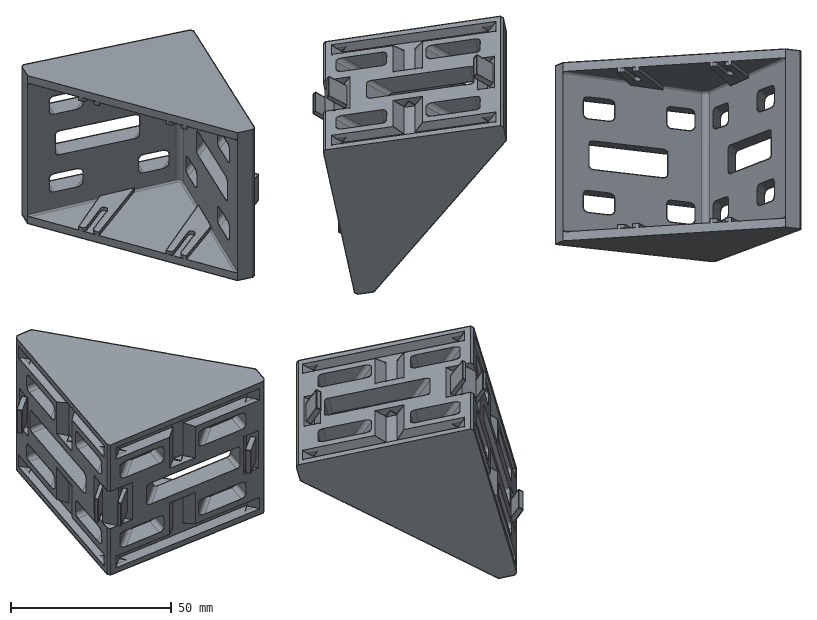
import cadquery as cq
import math

WIDTH = 79.6
HEIGHT = 57.0
FRONT_HALF_WIDTH = 36.15
APEX_HALF_WIDTH = 0.55
APEX_Y = 44.1
OUTER_DROP = 0.4

PLATE_FRONT_THICKNESS = 2.9
DRAFT = math.tan(math.radians(2))
CORNER_RADIUS = 1.8
PLATE_RADIUS = 0.55

HOLE_ENDS = [(2.95, 10.0), (23.2, 31.05)]
HOLE_HEIGHT = 7.0
HOLE_Z = 15.0
HOLE_RADIUS = 1.6
SLOT_ENDS = (9.8, 29.6)
SLOT_HEIGHT = 9.15
SLOT_RADIUS = 1.3

GROOVE_DEPTH = 2.9
LONG_GROOVE_X = 1.9
LONG_GROOVE_Y = 5.8
LONG_GROOVE_Z = (21.0, 26.0)
LONG_GROOVE_TAPER = 0.7
LONG_GROOVE_END_INSET = 0.3
BRANCH_X = 15.8
BRANCH_Y = 22.3
BRANCH_END_Z = 7.5
BRANCH_TAPER = 0.5

NOTCH_HEIGHT = 16.1
REAR_NOTCH_X = 2.55
REAR_NOTCH_Y = 38.5
SIDE_NOTCH_X = 34.7
SIDE_NOTCH_Y = 6.1
TAB_HEIGHT = 9.95
TAB_TIP_CHAMFER = 0.15
REAR_TAB_TIP_Y = 45.45
REAR_TAB_INNER_X = 3.1
REAR_TAB_TIP_X = 4.3
REAR_TAB_ROOT_X = 4.5
SIDE_TAB_TIP_Y = 12.4
SIDE_TAB_X = (36.0, 37.7)

PAD_X = 15.05
PAD_FRONT_WIDTH = 7.0
PAD_HEIGHT = 1.3
PAD_SIDE_DRAFT = math.tan(math.radians(1.6))
PAD_SLOT_WIDTH = 2.4
PAD_SLOT_LENGTH = 12.3
PAD_MOUTH_RADIUS = 1.2

OVERSHOOT = 0.8
HALF_HEIGHT = HEIGHT / 2
HALF_WIDTH = WIDTH / 2
OUTER_PEAK = APEX_Y + APEX_HALF_WIDTH
INNER_PEAK = FRONT_HALF_WIDTH
GROOVE_FLOOR_PEAK = OUTER_PEAK - GROOVE_DEPTH * math.sqrt(2)
FRONT_CHAMFER = HALF_WIDTH - FRONT_HALF_WIDTH
CAVITY_HALF_FRONT = HALF_HEIGHT - PLATE_FRONT_THICKNESS


def prism(points, z_low, z_high):
    """Extrude an XY outline between two heights."""
    return cq.Workplane("XY").workplane(offset=z_low).polyline(points).close().extrude(z_high - z_low)


def wedge(half_front, slope, y_front, y_rear):
    """Full-width block whose top and bottom close in along Y; half_front is its half height at Y = 0."""
    z_front = half_front - slope * y_front
    z_rear = half_front - slope * y_rear
    points = [(y_front, -z_front), (y_rear, -z_rear), (y_rear, z_rear), (y_front, z_front)]
    return cq.Workplane("YZ").polyline(points).close().extrude(HALF_WIDTH + OVERSHOOT, both=True)


def both_sides(shape):
    """The shape, given on the -X side, together with its mirror image on +X."""
    return shape.add(shape.mirror("YZ")).combine()


def both_plates(shape):
    """The shape, given at +Z, together with its mirror image at -Z."""
    return shape.add(shape.mirror("XY")).combine()


def outer_body():
    right = [
        (FRONT_HALF_WIDTH, 0),
        (HALF_WIDTH, FRONT_CHAMFER),
        (HALF_WIDTH, OUTER_PEAK - HALF_WIDTH),
        (APEX_HALF_WIDTH, APEX_Y),
    ]
    left = [(-x, y) for x, y in reversed(right)]
    outline = prism(right + left, -HALF_HEIGHT, HALF_HEIGHT)
    return outline.intersect(wedge(HALF_HEIGHT, OUTER_DROP / APEX_Y, 0, APEX_Y))


def cavity():
    """Triangular space between the walls and plates, open at the front."""
    reach = INNER_PEAK + OVERSHOOT
    triangle = prism([(-reach, -OVERSHOOT), (reach, -OVERSHOOT), (0, INNER_PEAK)], -HALF_HEIGHT, HALF_HEIGHT)
    space = triangle.intersect(wedge(CAVITY_HALF_FRONT, DRAFT, -OVERSHOOT, INNER_PEAK + OVERSHOOT))
    space = space.edges("|Z and >Y").fillet(CORNER_RADIUS)
    return space.faces(">Z or <Z").edges("not(<Y)").fillet(PLATE_RADIUS)


def wall_hole(near_x, far_x, height, radius, z):
    """Opening in the -X wall: the near end runs along Y, the far end is square to the wall."""
    inner_y = INNER_PEAK - 2 * OVERSHOOT
    outer_y = OUTER_PEAK + 2 * OVERSHOOT
    far_reach = (outer_y - INNER_PEAK) / 2
    points = [
        (-near_x, inner_y - near_x),
        (-near_x, outer_y - near_x),
        (-far_x - far_reach, INNER_PEAK - far_x + far_reach),
        (-far_x + OVERSHOOT, INNER_PEAK - far_x - OVERSHOOT),
    ]
    opening = prism(points, z - height / 2, z + height / 2)
    return opening.edges("|Y or |(-1,1,0)").fillet(radius)


def wall_holes():
    holes = wall_hole(*SLOT_ENDS, SLOT_HEIGHT, SLOT_RADIUS, 0)
    for near_x, far_x in HOLE_ENDS:
        for z in (-HOLE_Z, HOLE_Z):
            holes = holes.add(wall_hole(near_x, far_x, HOLE_HEIGHT, HOLE_RADIUS, z))
    return holes.combine()


def groove_section(z_low, z_high, taper_low, taper_high):
    """Bar along the -X wall whose Z sides close in by the tapers from the wall face to the groove floor."""
    along_wall = cq.Plane(origin=(0, OUTER_PEAK, 0), xDir=(1, -1, 0), normal=(-1, -1, 0))
    rise = OVERSHOOT / GROOVE_DEPTH
    points = [
        (GROOVE_DEPTH, z_low + taper_low),
        (-OVERSHOOT, z_low - taper_low * rise),
        (-OVERSHOOT, z_high + taper_high * rise),
        (GROOVE_DEPTH, z_high - taper_high),
    ]
    return cq.Workplane(along_wall).polyline(points).close().extrude(WIDTH)


def groove(near_x, far_y, z_low, z_high, taper_low, taper_high, end_inset):
    """Groove in the -X wall: tapered Z sides over its floor, straight Z sides in the V-shaped ends."""
    end_range = (z_low + end_inset, z_high - end_inset)
    top_y = OUTER_PEAK + OVERSHOOT
    near_top = (-near_x, top_y - near_x)
    near_floor = (-near_x, GROOVE_FLOOR_PEAK - near_x)
    far_floor = (far_y - GROOVE_FLOOR_PEAK, far_y)
    far_top = (far_y - top_y, far_y)
    near_end = prism([near_floor, near_top, (near_floor[1] - top_y, near_floor[1])], *end_range)
    far_end = prism([far_floor, far_top, (far_floor[0], far_floor[0] + top_y)], *end_range)
    full_height = prism([near_floor, near_top, far_top, far_floor], -HALF_HEIGHT, HALF_HEIGHT)
    middle = full_height.intersect(groove_section(z_low, z_high, taper_low, taper_high))
    return middle.union(near_end).union(far_end)


def wall_grooves():
    z_low, z_high = LONG_GROOVE_Z
    long_groove = groove(
        LONG_GROOVE_X, LONG_GROOVE_Y, z_low, z_high,
        LONG_GROOVE_TAPER, LONG_GROOVE_TAPER, LONG_GROOVE_END_INSET)
    branch_top = z_low + LONG_GROOVE_TAPER
    branch = groove(BRANCH_X, BRANCH_Y, BRANCH_END_Z, branch_top, BRANCH_TAPER, 0, 0)
    return both_plates(long_groove.union(branch))


def notches():
    """V-shaped notches in the -X wall; the rear one also flattens the rear corner."""
    half = NOTCH_HEIGHT / 2
    rear_top = OUTER_PEAK - REAR_NOTCH_X
    rear = prism(
        [
            (0, rear_top),
            (-REAR_NOTCH_X, rear_top),
            (-REAR_NOTCH_X, REAR_NOTCH_Y),
            (REAR_NOTCH_Y - OUTER_PEAK - OVERSHOOT, REAR_NOTCH_Y),
            (-OVERSHOOT, OUTER_PEAK),
            (0, OUTER_PEAK),
        ],
        -half, half)
    side = prism(
        [
            (-SIDE_NOTCH_X, SIDE_NOTCH_Y),
            (-SIDE_NOTCH_X, OUTER_PEAK - SIDE_NOTCH_X + OVERSHOOT),
            (SIDE_NOTCH_Y - OUTER_PEAK - OVERSHOOT, SIDE_NOTCH_Y),
        ],
        -half, half)
    return rear.add(side).combine()


def tabs():
    """The two clip tabs of the -X wall, rising along Y from the notch floors."""
    half = TAB_HEIGHT / 2
    rear_root = REAR_NOTCH_Y - OVERSHOOT
    rear = prism(
        [
            (-REAR_TAB_INNER_X, rear_root),
            (-REAR_TAB_INNER_X, REAR_TAB_TIP_Y),
            (-REAR_TAB_TIP_X, REAR_TAB_TIP_Y),
            (-REAR_TAB_ROOT_X, rear_root),
        ],
        -half, half)
    side_root = SIDE_NOTCH_Y - OVERSHOOT
    inner_x, outer_x = SIDE_TAB_X
    side = prism(
        [
            (-inner_x, side_root),
            (-inner_x, SIDE_TAB_TIP_Y),
            (-outer_x, SIDE_TAB_TIP_Y),
            (-outer_x, side_root),
        ],
        -half, half)
    rear = rear.faces(">Y").chamfer(TAB_TIP_CHAMFER)
    side = side.faces(">Y").chamfer(TAB_TIP_CHAMFER)
    return rear.add(side).combine()


def guide_pad():
    """Forked pad on the upper plate, -X side; its open end is flush with the front."""
    rear_y = INNER_PEAK + OVERSHOOT - PAD_X
    half_front = PAD_FRONT_WIDTH / 2
    half_rear = half_front + PAD_SIDE_DRAFT * rear_y
    footprint = prism(
        [
            (-PAD_X - half_front, 0),
            (-PAD_X + half_front, 0),
            (-PAD_X + half_rear, rear_y + half_rear),
            (-PAD_X - half_rear, rear_y - half_rear),
        ],
        0, HALF_HEIGHT - PLATE_FRONT_THICKNESS / 2)
    slot_radius = PAD_SLOT_WIDTH / 2
    slot = (
        cq.Workplane("XY")
        .center(-PAD_X, PAD_SLOT_LENGTH / 2 - slot_radius)
        .slot2D(PAD_SLOT_LENGTH + 2 * slot_radius, PAD_SLOT_WIDTH, 90)
        .extrude(HALF_HEIGHT)
    )
    fork = footprint.cut(slot)
    mouth = cq.selectors.BoxSelector(
        (-PAD_X - slot_radius - OVERSHOOT / 2, -OVERSHOOT, 0),
        (-PAD_X + slot_radius + OVERSHOOT / 2, OVERSHOOT, HALF_HEIGHT))
    fork = fork.edges("|Z").edges(mouth).fillet(PAD_MOUTH_RADIUS)
    return fork.cut(wedge(CAVITY_HALF_FRONT - PAD_HEIGHT, DRAFT, -OVERSHOOT, OUTER_PEAK))


result = (
    outer_body()
    .cut(cavity())
    .cut(both_sides(wall_holes()))
    .cut(both_sides(wall_grooves()))
    .cut(both_sides(notches()))
    .union(both_sides(tabs()))
    .union(both_sides(both_plates(guide_pad())))
)